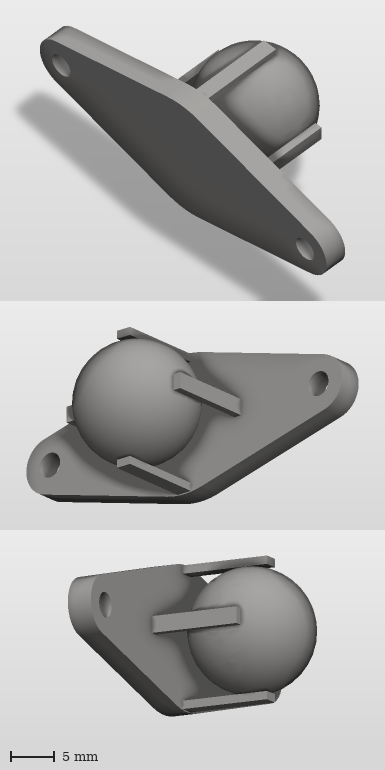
import cadquery as cq
import math

plate_length = 47.05
plate_height = 17.27
plate_thickness = 3.0
end_radius = 3.55
middle_radius = 10.0
hole_diameter = 3.0

ball_radius = 7.5
ball_gap = 1.05
post_width = 2.0
post_thickness = 1.0
post_length = 10.95
post_count = 4

end_center_x = plate_length / 2 - end_radius
middle_center_z = plate_height / 2 - middle_radius

center_distance = math.hypot(end_center_x, middle_center_z)
center_line_angle = math.atan2(-middle_center_z, end_center_x)
edge_angle = math.asin((middle_radius - end_radius) / center_distance) - center_line_angle

end_tangent_x = end_center_x + end_radius * math.sin(edge_angle)
end_tangent_z = end_radius * math.cos(edge_angle)
middle_tangent_x = middle_radius * math.sin(edge_angle)
middle_tangent_z = middle_center_z + middle_radius * math.cos(edge_angle)


def make_plate():
    """Lozenge plate with its outer face at Y = 0 and a hole at each end."""
    outline = (
        cq.Workplane("XZ")
        .moveTo(-middle_tangent_x, middle_tangent_z)
        .threePointArc((0, plate_height / 2), (middle_tangent_x, middle_tangent_z))
        .lineTo(end_tangent_x, end_tangent_z)
        .threePointArc((plate_length / 2, 0), (end_tangent_x, -end_tangent_z))
        .lineTo(middle_tangent_x, -middle_tangent_z)
        .threePointArc((0, -plate_height / 2), (-middle_tangent_x, -middle_tangent_z))
        .lineTo(-end_tangent_x, -end_tangent_z)
        .threePointArc((-plate_length / 2, 0), (-end_tangent_x, end_tangent_z))
        .close()
    )
    plate = outline.extrude(-plate_thickness)
    holes = (
        cq.Workplane("XZ")
        .pushPoints([(-end_center_x, 0), (end_center_x, 0)])
        .circle(hole_diameter / 2)
        .extrude(-plate_thickness)
    )
    return plate.cut(holes)


def make_post(angle):
    """Flat post behind the plate, tangent to the ball, turned about the Y axis."""
    post = (
        cq.Workplane("XY")
        .box(post_thickness, post_length, post_width, centered=(False, False, True))
        .translate((ball_radius, plate_thickness, 0))
    )
    return post.rotate((0, 0, 0), (0, 1, 0), angle)


def make_holder():
    """Plate and its posts as one solid."""
    holder = make_plate()
    for index in range(post_count):
        holder = holder.union(make_post(index * 360 / post_count))
    return holder


def make_ball():
    """Ball touching the inner faces of the posts, clear of the plate."""
    ball_center_y = plate_thickness + ball_gap + ball_radius
    return cq.Workplane("XY").sphere(ball_radius).translate((0, ball_center_y, 0))


holder = make_holder()
ball = make_ball()

result = cq.Compound.makeCompound([holder.solids().val(), ball.val()])